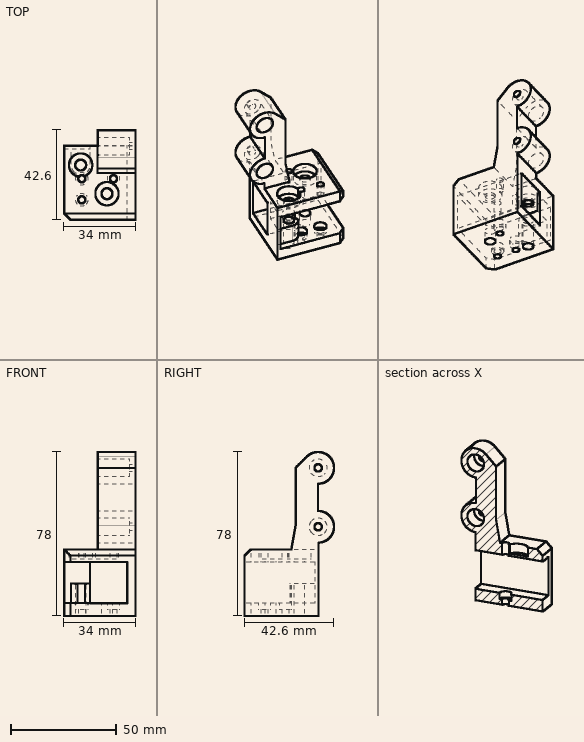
import cadquery as cq
import math

HOUSING_WIDTH = 34.0
HOUSING_DEPTH = 35.2
PLATE_THICKNESS = 6.1
CAVITY_HEIGHT = 19.5
SIDE_WALL = 4.0
BACK_WALL = 1.6
EDGE_CHAMFER = 3.0
CAVITY_TOP = PLATE_THICKNESS + CAVITY_HEIGHT
HOUSING_HEIGHT = CAVITY_TOP + PLATE_THICKNESS
CAVITY_BACK = HOUSING_DEPTH - BACK_WALL
CAVITY_RIGHT = HOUSING_WIDTH - SIDE_WALL

BOSS_CENTER = (7.9, 26.0)
SCREW_CENTERS = [BOSS_CENTER, (20.4, 12.4)]
SCREW_DIAMETER = 5.1
SCREW_HEAD_DIAMETER = 11.1
SCREW_HEAD_DEPTH = 4.6

BOSS_RADIUS = 4.5
BOSS_HEIGHT = 9.3

MOUNT_CENTERS = [(8.45, 9.5), (8.45, 19.5), (23.5, 19.5)]
MOUNT_DIAMETER = 3.3
MOUNT_HEAD_DIAMETER = 5.9
MOUNT_HEAD_DEPTH = 3.1

PART_HEIGHT = 78.0
ARM_WIDTH = 18.0
ARM_LEFT = HOUSING_WIDTH - ARM_WIDTH
SOCKET_RADIUS = 7.6
SOCKET_Y = 35.0
ROD_SPACING = 28.0
UPPER_SOCKET_Z = PART_HEIGHT - SOCKET_RADIUS
LOWER_SOCKET_Z = UPPER_SOCKET_Z - ROD_SPACING
ARM_FRONT = SOCKET_Y - SOCKET_RADIUS * math.sqrt(2)
ARM_FOOT_FRONT = 22.2
ARM_KNEE_Z = 43.1
ROD_DIAMETER = 8.4
ROD_DEPTH = 15.0
ROD_SCREW_DIAMETER = 3.4


def cylinder_z(center, diameter, bottom, top):
    return cq.Workplane("XY", origin=(*center, bottom)).circle(diameter / 2).extrude(top - bottom)


def cylinder_x(center_z, diameter, left, right):
    plane = cq.Workplane("YZ", origin=(left, SOCKET_Y, center_z))
    return plane.circle(diameter / 2).extrude(right - left)


def box(x_range, y_range, z_range):
    size = [high - low for low, high in (x_range, y_range, z_range)]
    corner = (x_range[0], y_range[0], z_range[0])
    return cq.Workplane("XY").box(*size, centered=False).translate(corner)


def housing():
    outer = box((0, HOUSING_WIDTH), (0, HOUSING_DEPTH), (0, HOUSING_HEIGHT))
    outer = outer.edges("|Z and <X and <Y").chamfer(EDGE_CHAMFER)
    outer = outer.faces(">Z").edges("<Y").chamfer(EDGE_CHAMFER)
    cavity = box((0, CAVITY_RIGHT), (0, CAVITY_BACK), (PLATE_THICKNESS, CAVITY_TOP))
    window_left = BOSS_CENTER[0] + BOSS_RADIUS
    window = box((window_left, CAVITY_RIGHT), (CAVITY_BACK, HOUSING_DEPTH), (PLATE_THICKNESS, CAVITY_TOP))
    return outer.cut(cavity).cut(window)


def boss():
    x, y = BOSS_CENTER
    top = PLATE_THICKNESS + BOSS_HEIGHT
    web = box((x - BOSS_RADIUS, x + BOSS_RADIUS), (y, HOUSING_DEPTH), (PLATE_THICKNESS, top))
    return web.union(cylinder_z(BOSS_CENTER, 2 * BOSS_RADIUS, PLATE_THICKNESS, top))


def arm():
    tangent_offset = SOCKET_RADIUS * math.sin(math.radians(45))
    outline = [
        (ARM_FOOT_FRONT, HOUSING_HEIGHT),
        (ARM_FRONT, ARM_KNEE_Z),
        (ARM_FRONT, UPPER_SOCKET_Z),
        (SOCKET_Y - tangent_offset, UPPER_SOCKET_Z + tangent_offset),
        (SOCKET_Y, UPPER_SOCKET_Z),
        (SOCKET_Y, LOWER_SOCKET_Z),
        (HOUSING_DEPTH, LOWER_SOCKET_Z),
        (HOUSING_DEPTH, HOUSING_HEIGHT),
    ]
    body = cq.Workplane("YZ", origin=(ARM_LEFT, 0, 0)).polyline(outline).close().extrude(ARM_WIDTH)
    for z in (LOWER_SOCKET_Z, UPPER_SOCKET_Z):
        body = body.union(cylinder_x(z, 2 * SOCKET_RADIUS, ARM_LEFT, HOUSING_WIDTH))
    for z in (LOWER_SOCKET_Z, UPPER_SOCKET_Z):
        body = body.cut(cylinder_x(z, ROD_DIAMETER, ARM_LEFT, ARM_LEFT + ROD_DEPTH))
        body = body.cut(cylinder_x(z, ROD_SCREW_DIAMETER, ARM_LEFT, HOUSING_WIDTH))
    return body


def cut_screws(body):
    for center in SCREW_CENTERS:
        body = body.cut(cylinder_z(center, SCREW_DIAMETER, 0, HOUSING_HEIGHT))
        head_floor = HOUSING_HEIGHT - SCREW_HEAD_DEPTH
        body = body.cut(cylinder_z(center, SCREW_HEAD_DIAMETER, head_floor, HOUSING_HEIGHT))
    return body


def cut_mounts(body):
    for center in MOUNT_CENTERS:
        body = body.cut(cylinder_z(center, MOUNT_DIAMETER, 0, HOUSING_HEIGHT))
        head_floor = PLATE_THICKNESS - MOUNT_HEAD_DEPTH
        body = body.cut(cylinder_z(center, MOUNT_HEAD_DIAMETER, head_floor, CAVITY_TOP))
    return body


body = housing().union(boss())
body = cut_screws(body)
body = cut_mounts(body)
result = body.union(arm())